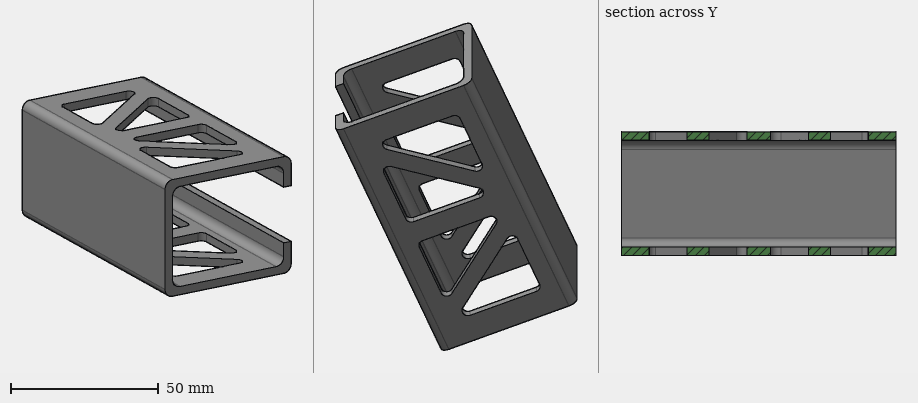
import cadquery as cq
import math

LENGTH = 93.0
WIDTH = 50.0
HEIGHT = 42.0
WALL = 3.0
CORNER_RADIUS = 3.0
MOUTH_HEIGHT = 20.0

WINDOW_END_X = 37.0
WINDOW_RIB_X = 4.0
WINDOW_HALF_DEPTH = 16.0
STRUT_WIDTH = 6.0
WINDOW_RADIUS = 2.0


def window_base():
    """Triangle leg along X that leaves a strut of STRUT_WIDTH between two paired triangles."""
    span = WINDOW_END_X - WINDOW_RIB_X
    depth = 2 * WINDOW_HALF_DEPTH
    a = depth**2 - STRUT_WIDTH**2
    half_b = span * depth**2
    c = depth**2 * (span**2 - STRUT_WIDTH**2)
    return (half_b - math.sqrt(half_b**2 - a * c)) / a


def channel():
    """Rounded rectangular tube, slit open along the middle of the +Y wall."""
    outer = cq.Workplane("YZ").rect(WIDTH, HEIGHT).extrude(LENGTH / 2, both=True)
    outer = outer.edges("|X").fillet(CORNER_RADIUS)
    cavity = (
        cq.Workplane("YZ")
        .rect(WIDTH - 2 * WALL, HEIGHT - 2 * WALL)
        .extrude(LENGTH / 2, both=True)
        .edges("|X")
        .fillet(CORNER_RADIUS)
    )
    mouth = cq.Workplane("XY").box(LENGTH, 2 * WALL, MOUTH_HEIGHT).translate((0, WIDTH / 2, 0))
    return outer.cut(cavity).cut(mouth)


def window(corners):
    """Round-cornered triangular cutter running through both walls."""
    return (
        cq.Workplane("XY")
        .polyline(corners)
        .close()
        .extrude(HEIGHT, both=True)
        .edges("|Z")
        .fillet(WINDOW_RADIUS)
    )


def windows():
    """Cutters for the outer and inner triangle of each pair, mirrored about the middle."""
    base = window_base()
    cutters = []
    for side in (-1, 1):
        end_x = side * WINDOW_END_X
        rib_x = side * WINDOW_RIB_X
        cutters.append(window([
            (end_x, -WINDOW_HALF_DEPTH),
            (end_x, WINDOW_HALF_DEPTH),
            (end_x - side * base, -WINDOW_HALF_DEPTH),
        ]))
        cutters.append(window([
            (rib_x, WINDOW_HALF_DEPTH),
            (rib_x, -WINDOW_HALF_DEPTH),
            (rib_x + side * base, WINDOW_HALF_DEPTH),
        ]))
    return cutters


result = channel()
for cutter in windows():
    result = result.cut(cutter)